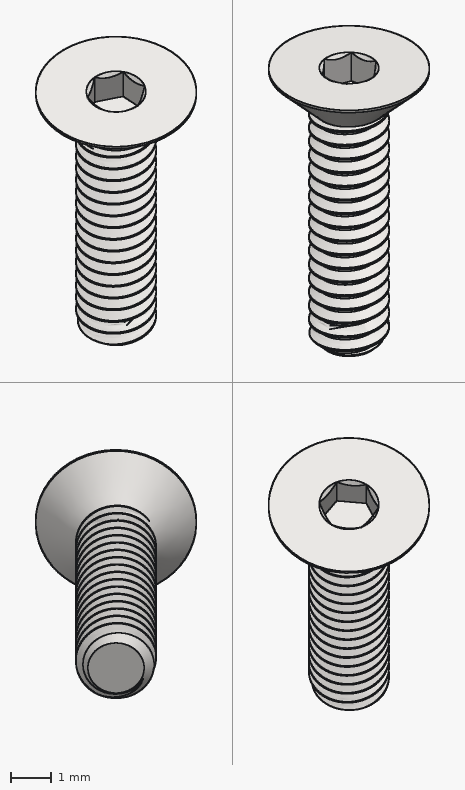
import cadquery as cq
import math


head_diameter = 4.0
shank_diameter = 2.0
length = 8.0

rim_height = 0.07
cone_height = 1.14
head_height = rim_height + cone_height

socket_corner_diameter = 1.48
socket_depth = 0.84
socket_sides = 6
socket_turn = 30
countersink_half_angle = math.radians(45)

pitch = 0.4
crest_fraction = 1 / 8
depth_fraction = 17 / 24
flank_half_angle = math.radians(30)
crest_width = pitch * crest_fraction
sharp_height = pitch / 2 / math.tan(flank_half_angle)
thread_depth = sharp_height * depth_fraction
thread_lead_z = 0.08

head_radius = head_diameter / 2
shank_radius = shank_diameter / 2
core_radius = shank_radius - thread_depth
shank_top_z = -(rim_height + head_radius - shank_radius)

tip_chamfer = 0.3
tip_radius = shank_radius - tip_chamfer

full_turn = 360
clearance = 0.1
overlap = 0.02


def make_head():
    """Countersunk head without its socket."""
    cone_bottom_radius = head_radius - cone_height
    return (
        cq.Workplane("XZ")
        .lineTo(head_radius, 0)
        .lineTo(head_radius, -rim_height)
        .lineTo(cone_bottom_radius, -head_height)
        .lineTo(0, -head_height)
        .close()
        .revolve(full_turn, (0, 0), (0, 1))
    )


def make_core():
    """Thread core, standing past both ends of the shank."""
    core_length = length + clearance
    return cq.Workplane("XY").workplane(offset=-core_length).circle(core_radius).extrude(core_length)


def make_ridge():
    """One trapezoidal ridge wound past both ends of the shank."""
    inner_radius = core_radius - overlap
    inner_half_width = crest_width / 2 + (shank_radius - inner_radius) * math.tan(flank_half_angle)
    start_z = -(math.ceil(length / pitch) + 1) * pitch - thread_lead_z
    turns = math.ceil((shank_top_z - start_z) / pitch) + 1
    helix = cq.Wire.makeHelix(pitch, turns * pitch, inner_radius, center=cq.Vector(0, 0, start_z))
    return (
        cq.Workplane("XZ")
        .moveTo(inner_radius, start_z - inner_half_width)
        .lineTo(shank_radius, start_z - crest_width / 2)
        .lineTo(shank_radius, start_z + crest_width / 2)
        .lineTo(inner_radius, start_z + inner_half_width)
        .close()
        .sweep(cq.Workplane(helix), isFrenet=True)
    )


def make_shank_envelope():
    """Body that trims the thread to the head joint and to the tip chamfer."""
    outer_radius = shank_radius + clearance
    return (
        cq.Workplane("XZ")
        .moveTo(0, shank_top_z)
        .lineTo(outer_radius, shank_top_z)
        .lineTo(outer_radius, -length + outer_radius - tip_radius)
        .lineTo(tip_radius, -length)
        .lineTo(0, -length)
        .close()
        .revolve(full_turn, (0, 0), (0, 1))
    )


def make_socket():
    """Hexagonal recess with a conical countersink at its mouth."""
    hexagon = (
        cq.Workplane("XY")
        .polygon(socket_sides, socket_corner_diameter)
        .extrude(-socket_depth)
        .rotate((0, 0, 0), (0, 0, 1), socket_turn)
    )
    mouth_radius = socket_corner_diameter / 2
    countersink = (
        cq.Workplane("XZ")
        .lineTo(mouth_radius, 0)
        .lineTo(0, -mouth_radius / math.tan(countersink_half_angle))
        .close()
        .revolve(full_turn, (0, 0), (0, 1))
    )
    return hexagon.union(countersink)


shank = make_core().union(make_ridge()).intersect(make_shank_envelope())
head = make_head().cut(make_socket())
result = shank.union(head)